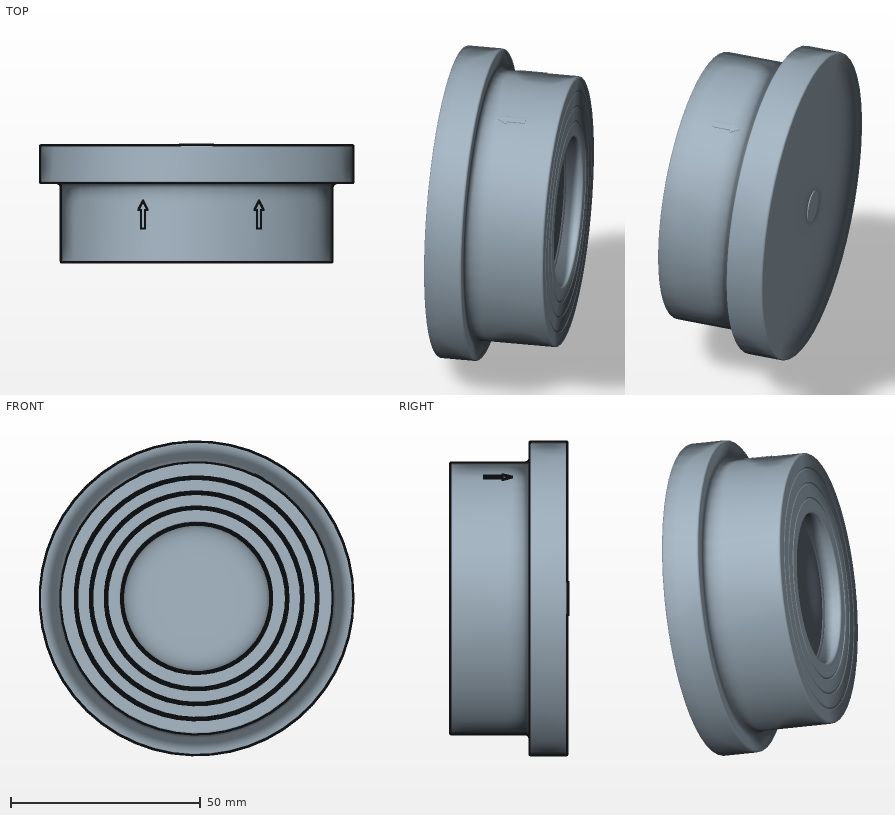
import cadquery as cq


flange_diameter = 83.0
flange_thickness = 10.0
nose_diameter = 72.0
body_length = 31.0
edge_rounding = 0.5
collar_fillet = 1.0
bore_diameter = 40.0

groove_first_radius = 23.6
groove_spacing = 4.0
groove_count = 3
groove_width = 0.7
groove_slope_width = 0.5
groove_depth = 0.25

arrow_tip_y = -14.7
arrow_head_length = 2.5
arrow_head_width = 2.5
arrow_shaft_length = 4.9
arrow_shaft_width = 1.2
arrow_spacing = 30.7
arrow_pair_offset = 1.2
arrow_height = 0.2

plug_diameter = 42.0
rim_depth = 4.0
dish_depth = 1.0
dish_fillet = 0.5
boss_diameter = 8.7
boss_height = 0.25

nose_face = -body_length
flange_face = -flange_thickness
rim_face = nose_face + rim_depth
dish_floor = rim_face + dish_depth

nose_radius = nose_diameter / 2
bore_radius = bore_diameter / 2
plug_radius = plug_diameter / 2


def revolve_profile(profile):
    """Revolve a closed (radius, Y) profile a full turn about the Y axis."""
    return profile.close().revolve(360, (0, 0, 0), (0, 1, 0))


def make_housing_blank():
    """Flange, nose and stepped bore, with rounded rims and a filleted inside corner."""
    flange_radius = flange_diameter / 2
    profile = (
        cq.Workplane("XY")
        .moveTo(plug_radius, 0)
        .lineTo(flange_radius - edge_rounding, 0)
        .radiusArc((flange_radius, -edge_rounding), edge_rounding)
        .lineTo(flange_radius, flange_face + edge_rounding)
        .radiusArc((flange_radius - edge_rounding, flange_face), edge_rounding)
        .lineTo(nose_radius + collar_fillet, flange_face)
        .radiusArc((nose_radius, flange_face - collar_fillet), -collar_fillet)
        .lineTo(nose_radius, nose_face + edge_rounding)
        .radiusArc((nose_radius - edge_rounding, nose_face), edge_rounding)
        .lineTo(bore_radius + edge_rounding, nose_face)
        .radiusArc((bore_radius, nose_face + edge_rounding), edge_rounding)
        .lineTo(bore_radius, rim_face)
        .lineTo(plug_radius, rim_face)
    )
    return revolve_profile(profile)


def make_groove(inner_radius):
    """Saw-tooth ring: a long slope down from the inside and a short wall on the outside."""
    bottom_radius = inner_radius + groove_slope_width
    profile = cq.Workplane("XY").polyline(
        [
            (inner_radius, nose_face),
            (bottom_radius, nose_face + groove_depth),
            (inner_radius + groove_width, nose_face),
        ]
    )
    return revolve_profile(profile)


def make_arrow(center_x):
    """Arrow standing slightly proud of the nose, with its top curved to match."""
    head_y = arrow_tip_y - arrow_head_length
    tail_y = head_y - arrow_shaft_length
    half_head = arrow_head_width / 2
    half_shaft = arrow_shaft_width / 2
    outline = [
        (0, arrow_tip_y),
        (half_head, head_y),
        (half_shaft, head_y),
        (half_shaft, tail_y),
        (-half_shaft, tail_y),
        (-half_shaft, head_y),
        (-half_head, head_y),
    ]
    sunk_z = (bore_radius + nose_radius) / 2
    prism = (
        cq.Workplane("XY", origin=(center_x, 0, sunk_z))
        .polyline(outline)
        .close()
        .extrude(nose_radius - sunk_z + arrow_height)
    )
    envelope = cq.Workplane("XZ").circle(nose_radius + arrow_height).extrude(body_length)
    return prism.intersect(envelope)


def make_housing():
    """Housing with flow arrows on top and concentric grooves in its nose face."""
    body = make_housing_blank()
    for side in (-1, 1):
        body = body.union(make_arrow(arrow_pair_offset + side * arrow_spacing / 2))
    for index in range(groove_count):
        body = body.cut(make_groove(groove_first_radius + index * groove_spacing))
    return body


def make_plug():
    """Round plug with a shallow round-cornered dish in front and a low boss on its back."""
    boss_radius = boss_diameter / 2
    profile = (
        cq.Workplane("XY")
        .moveTo(0, dish_floor)
        .lineTo(bore_radius - dish_fillet, dish_floor)
        .radiusArc((bore_radius, dish_floor - dish_fillet), -dish_fillet)
        .lineTo(bore_radius, rim_face)
        .lineTo(plug_radius, rim_face)
        .lineTo(plug_radius, 0)
        .lineTo(boss_radius, 0)
        .lineTo(boss_radius, boss_height)
        .lineTo(0, boss_height)
    )
    return revolve_profile(profile)


housing = make_housing()
plug = make_plug()

result = cq.Compound.makeCompound([housing.val(), plug.val()])